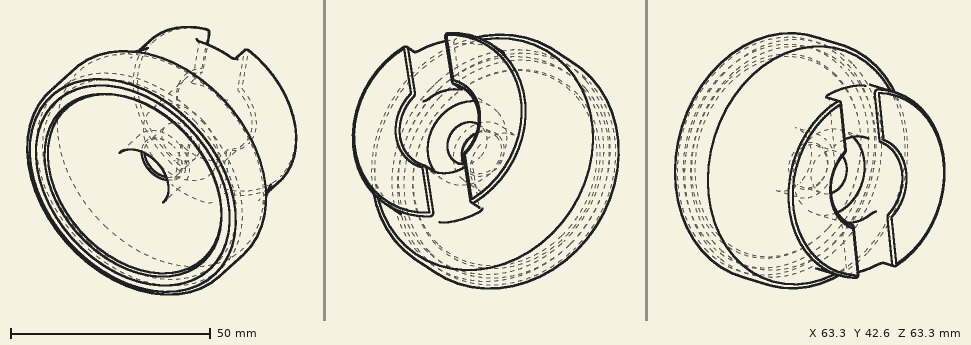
import cadquery as cq

TILT_ABOUT_Z = -2.1
TILT_ABOUT_X = -1.8

LENGTH = 40.0
FLANGE_DIA = 62.95
FLANGE_LENGTH = 13.25
FLANGE_FRONT_FILLET = 0.9
FLANGE_REAR_FILLET = 0.8
CONE_DIA = 60.6
CONE_SAG = 0.4
HUB_DIA = 48.0
HUB_LENGTH = 10.2
HUB_ROOT_FILLET = 1.9
HUB_CHAMFER = 0.75

RING_OUTER_DIA = 60.6
RING_INNER_DIA = 57.0
RING_DEPTH = 3.15

LAND_OUTER_DIA = 56.2
LAND_INNER_DIA = 53.5
LAND_DROP = 0.1
STEP_TOP_DIA = 52.05
STEP_BOTTOM_DIA = 51.05
STEP_DEPTH = 0.9
POCKET_TOP_DIA = 48.8
POCKET_TOP_FILLET = 1.65
POCKET_FLOOR_DIA = 42.0
POCKET_FLOOR_FILLET = 1.7
POCKET_DEPTH = 3.0

COUNTERBORE_DIA = 16.5
COUNTERBORE_DEPTH = 11.0
COUNTERBORE_MOUTH_FILLET = 1.0
COUNTERBORE_FLOOR_FILLET = 0.4
COUNTERBORE_FLOOR = POCKET_DEPTH + COUNTERBORE_DEPTH
SCREW_HOLE_DIA = 11.0
SCREW_HOLE_CHAMFER = 0.5
ARBOR_BORE_DIA = 22.0
ARBOR_BORE_DEPTH = 17.1

KEYWAY_WIDTH = 10.4
KEYWAY_DEPTH = 6.6
KEYWAY_TURN = 8.2
KEYWAY_CORNER_FILLET = 0.9
KEYWAY_FLOOR_FILLET = 1.0
KEYWAY_FLOOR = LENGTH - KEYWAY_DEPTH

CROWN_BASE = 1.25
CROWN_START = KEYWAY_FLOOR - CROWN_BASE

EDGE_MARGIN = 0.05


def tilted(body):
    """Turn a body from the build axis to its final direction."""
    return body.solids().rotate((0, 0, 0), (0, 0, 1), TILT_ABOUT_Z).rotate((0, 0, 0), (1, 0, 0), TILT_ABOUT_X)


def revolved(outline):
    """Solid of revolution about the Y axis."""
    return outline.close().revolve(360, (0, 0, 0), (0, 1, 0))


def cylinder(diameter, start, length):
    """Cylinder on the Y axis, from y = start toward the rear."""
    return cq.Workplane("XZ", origin=(0, start, 0)).circle(diameter / 2).extrude(-length)


def tube(outer_dia, inner_dia, start, length):
    return cylinder(outer_dia, start, length).cut(cylinder(inner_dia, start, length))


def edges_at(body, diameter, y):
    """Edges at station y that lie within the given diameter."""
    reach = diameter / 2 + EDGE_MARGIN
    box = cq.selectors.BoxSelector(
        (-reach, y - EDGE_MARGIN, -reach), (reach, y + EDGE_MARGIN, reach), boundingbox=True
    )
    return body.edges(box)


def circle_at(body, diameter, y):
    """The circular edge of the given diameter at station y, the largest one inside that reach."""
    return edges_at(body, diameter, y).edges(cq.selectors.RadiusNthSelector(-1))


def outer_blank():
    """Solid outside shape: flange, slightly hollow cone and hub."""
    hub_start = LENGTH - HUB_LENGTH
    cone_middle = ((CONE_DIA + HUB_DIA) / 4 - CONE_SAG, (FLANGE_LENGTH + hub_start) / 2)
    blank = revolved(
        cq.Workplane("XY")
        .lineTo(FLANGE_DIA / 2, 0)
        .lineTo(FLANGE_DIA / 2, FLANGE_LENGTH)
        .lineTo(CONE_DIA / 2, FLANGE_LENGTH)
        .threePointArc(cone_middle, (HUB_DIA / 2, hub_start))
        .lineTo(HUB_DIA / 2, LENGTH)
        .lineTo(0, LENGTH)
    )
    blank = circle_at(blank, FLANGE_DIA, 0).fillet(FLANGE_FRONT_FILLET)
    blank = circle_at(blank, FLANGE_DIA, FLANGE_LENGTH).fillet(FLANGE_REAR_FILLET)
    return circle_at(blank, HUB_DIA, hub_start).fillet(HUB_ROOT_FILLET)


def front_pocket():
    """Space removed from the front face inside the ring."""
    pocket = revolved(
        cq.Workplane("XY")
        .lineTo(LAND_OUTER_DIA / 2, 0)
        .lineTo(LAND_INNER_DIA / 2, LAND_DROP)
        .lineTo(STEP_TOP_DIA / 2, LAND_DROP)
        .lineTo(STEP_BOTTOM_DIA / 2, STEP_DEPTH)
        .lineTo(POCKET_TOP_DIA / 2, STEP_DEPTH)
        .lineTo(POCKET_FLOOR_DIA / 2, POCKET_DEPTH)
        .lineTo(0, POCKET_DEPTH)
    )
    pocket = circle_at(pocket, POCKET_TOP_DIA, STEP_DEPTH).fillet(POCKET_TOP_FILLET)
    return circle_at(pocket, POCKET_FLOOR_DIA, POCKET_DEPTH).fillet(POCKET_FLOOR_FILLET)


def with_bores(body):
    """Cut the counterbore, screw hole and arbor bore, and break their edges."""
    body = body.cut(cylinder(COUNTERBORE_DIA, POCKET_DEPTH, COUNTERBORE_DEPTH))
    body = body.cut(cylinder(SCREW_HOLE_DIA, 0, LENGTH))
    body = body.cut(cylinder(ARBOR_BORE_DIA, LENGTH - ARBOR_BORE_DEPTH, ARBOR_BORE_DEPTH))
    body = circle_at(body, COUNTERBORE_DIA, POCKET_DEPTH).fillet(COUNTERBORE_MOUTH_FILLET)
    body = circle_at(body, COUNTERBORE_DIA, COUNTERBORE_FLOOR).fillet(COUNTERBORE_FLOOR_FILLET)
    return circle_at(body, SCREW_HOLE_DIA, COUNTERBORE_FLOOR).chamfer(SCREW_HOLE_CHAMFER)


def crown():
    """Keyed rear end of the hub: two rounded lugs beside the keyway.

    The lugs stand on an oversize disc so that the floor fillet can run right round each foot;
    the hub and bore diameters then trim the disc and the fillet back to size.
    """
    keyway = cq.Workplane("XY").box(KEYWAY_WIDTH, 2 * KEYWAY_DEPTH, 2 * HUB_DIA).translate((0, LENGTH, 0))
    lugs = tube(HUB_DIA, ARBOR_BORE_DIA, KEYWAY_FLOOR, KEYWAY_DEPTH).cut(keyway)
    lugs = lugs.edges("|Y").fillet(KEYWAY_CORNER_FILLET)
    lugs = lugs.faces(">Y").edges().chamfer(HUB_CHAMFER)

    disc = cylinder(HUB_DIA + 4 * KEYWAY_FLOOR_FILLET, CROWN_START, CROWN_BASE)
    shape = edges_at(disc.union(lugs), HUB_DIA, KEYWAY_FLOOR).fillet(KEYWAY_FLOOR_FILLET)
    return shape.intersect(tube(HUB_DIA, ARBOR_BORE_DIA, CROWN_START, CROWN_BASE + KEYWAY_DEPTH))


def make_ring():
    return tube(RING_OUTER_DIA, RING_INNER_DIA, 0, RING_DEPTH)


def make_housing():
    body = outer_blank().cut(front_pocket()).cut(make_ring())
    body = with_bores(body)
    plain_end = cylinder(FLANGE_DIA, CROWN_START, CROWN_BASE + KEYWAY_DEPTH)
    body = body.cut(plain_end).union(crown())
    return body.rotate((0, 0, 0), (0, 1, 0), KEYWAY_TURN)


housing = tilted(make_housing())
ring = tilted(make_ring())

result = cq.Compound.makeCompound([housing.val(), ring.val()])